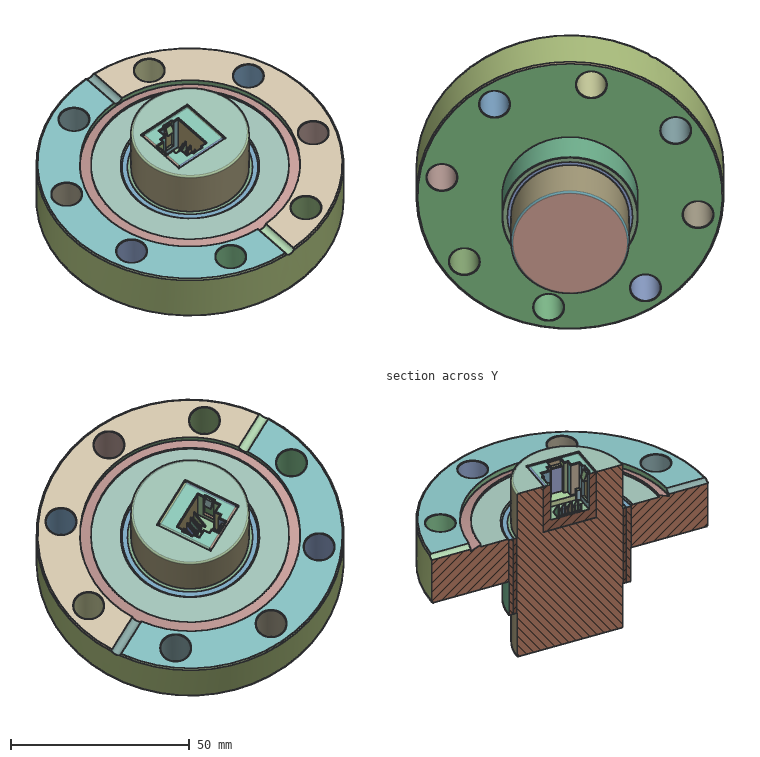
import cadquery as cq

FLANGE_DIAMETER = 86
FLANGE_THICKNESS = 15.8
FLANGE_CHAMFER = 0.4
BOLT_COUNT = 8
BOLT_CIRCLE_DIAMETER = 72.6
BOLT_HOLE_DIAMETER = 8.4
BOLT_HOLE_CHAMFER = 0.2
RECESS_DIAMETER = 61.6
RECESS_WALL_DEPTH = 1.7
KNIFE_EDGE_DIAMETER = 55.4
KNIFE_EDGE_DEPTH = 0.4
RECESS_FLOOR_DEPTH = 1.1
BORE_CHAMFER = 0.4
LEAK_GROOVE_WIDTH = 2.9
LEAK_GROOVE_DEPTH = 1.0

SLEEVE_OUTER_DIAMETER = 38.0
SLEEVE_INNER_DIAMETER = 35.0
SLEEVE_DROP = 11.4
SLEEVE_CHAMFER = 0.2

PLUG_DIAMETER = 33.0
PLUG_LENGTH = 55.6
PLUG_RISE = 13.4
PLUG_FILLET = 0.5

JACK_WIDTH = 16.3
JACK_TOP_Y = 6.1
JACK_BOTTOM_Y = -11.1
JACK_LENGTH = 15.5
JACK_FILLET = 0.8

SOCKET_DEPTH = 12
SOCKET_RIM_CHAMFER = 0.3
SOCKET_HALF_WIDTH = 5.85
SOCKET_TOP_Y = 0.7
SOCKET_BOTTOM_Y = -6.1
SHOULDER_HALF_WIDTH = 3.2
SHOULDER_Y = -7.9
LATCH_HALF_WIDTH = 2.0
LATCH_Y = -10.2
LATCH_LEDGE_Y = -9.0
LATCH_LEDGE_DEPTH = 1.7
SHELF_Y = -5.6
SHELF_HEIGHT = 1.7
CORNER_BLOCK_WIDTH = 1.3
CORNER_BLOCK_LENGTH = 1.0
CORNER_BLOCK_HEIGHT = 3.4

SPRING_NOTCH_HALF_WIDTH = 6.6
SPRING_NOTCH_LENGTH = 3.35
SPRING_NOTCH_DEPTH = 10.3
SPRING_CENTER_Y = -2.7
SPRING_LENGTH = 2.2
SPRING_ROOT_HALF_WIDTH = 6
SPRING_TIP_HALF_WIDTH = 5.1
SPRING_TOP_DEPTH = 0.9
SPRING_TIP_DEPTH = 3.4

CONTACT_COUNT = 8
CONTACT_ROW_LENGTH = 7.05
CONTACT_WIDTH = 0.4
CONTACT_REACHES = (2.9, 3.7)
CONTACT_HEIGHTS = (3.4, 5.2)

flange_radius = FLANGE_DIAMETER / 2
recess_floor_z = FLANGE_THICKNESS - RECESS_FLOOR_DEPTH
sleeve_top_z = recess_floor_z - BORE_CHAMFER
plug_top_z = FLANGE_THICKNESS + PLUG_RISE
socket_floor_z = plug_top_z - SOCKET_DEPTH
contact_pitch = CONTACT_ROW_LENGTH / (CONTACT_COUNT - 1)


def box(x_range, y_range, z_range):
    """Box between two X, two Y and two Z values."""
    lengths = [high - low for low, high in (x_range, y_range, z_range)]
    return cq.Workplane("XY").box(*lengths, centered=False).translate((x_range[0], y_range[0], z_range[0]))


def tube(outer_diameter, inner_diameter, bottom_z, top_z):
    """Round tube on the Z axis."""
    plane = cq.Workplane("XY").workplane(offset=bottom_z)
    return plane.circle(outer_diameter / 2).circle(inner_diameter / 2).extrude(top_z - bottom_z)


def make_flange():
    """Knife-edge flange: turned profile, bolt holes and leak-check grooves."""
    recess_radius = RECESS_DIAMETER / 2
    knife_radius = KNIFE_EDGE_DIAMETER / 2
    bore_radius = SLEEVE_OUTER_DIAMETER / 2
    profile = [
        (bore_radius, 0),
        (flange_radius - FLANGE_CHAMFER, 0),
        (flange_radius, FLANGE_CHAMFER),
        (flange_radius, FLANGE_THICKNESS - FLANGE_CHAMFER),
        (flange_radius - FLANGE_CHAMFER, FLANGE_THICKNESS),
        (recess_radius, FLANGE_THICKNESS),
        (recess_radius, FLANGE_THICKNESS - RECESS_WALL_DEPTH),
        (knife_radius, FLANGE_THICKNESS - KNIFE_EDGE_DEPTH),
        (knife_radius, recess_floor_z),
        (bore_radius + BORE_CHAMFER, recess_floor_z),
        (bore_radius, sleeve_top_z),
    ]
    flange = cq.Workplane("XZ").polyline(profile).close().revolve(360, (0, 0), (0, 1))
    return flange.cut(bolt_holes()).cut(leak_grooves())


def bolt_holes():
    """Cutters for the chamfered bolt holes, spaced evenly and clear of the grooves."""
    radius = BOLT_HOLE_DIAMETER / 2
    rim_radius = radius + BOLT_HOLE_CHAMFER
    profile = [
        (0, 0),
        (rim_radius, 0),
        (radius, BOLT_HOLE_CHAMFER),
        (radius, FLANGE_THICKNESS - BOLT_HOLE_CHAMFER),
        (rim_radius, FLANGE_THICKNESS),
        (0, FLANGE_THICKNESS),
    ]
    cutter = cq.Workplane("XZ").polyline(profile).close().revolve(360, (0, 0), (0, 1)).val()
    first_angle = 180 / BOLT_COUNT
    radius_to_holes = BOLT_CIRCLE_DIAMETER / 2
    centers = cq.Workplane("XY").polarArray(radius_to_holes, first_angle, 360, BOLT_COUNT, rotate=False)
    return centers.eachpoint(lambda place: cutter.moved(place))


def leak_grooves():
    """Cutter for the two round-bottomed grooves along X, from the recess to the rim."""
    half_width = LEAK_GROOVE_WIDTH / 2
    radius = (half_width**2 + LEAK_GROOVE_DEPTH**2) / (2 * LEAK_GROOVE_DEPTH)
    axis_z = FLANGE_THICKNESS - LEAK_GROOVE_DEPTH + radius
    rod = cq.Workplane("YZ").center(0, axis_z).circle(radius).extrude(flange_radius, both=True)
    recess_core = cq.Workplane("XY").circle(RECESS_DIAMETER / 2).extrude(plug_top_z)
    return rod.cut(recess_core)


def make_sleeve():
    """Tube that carries the plug, chamfered at its lower outer edge."""
    sleeve = tube(SLEEVE_OUTER_DIAMETER, SLEEVE_INNER_DIAMETER, -SLEEVE_DROP, sleeve_top_z)
    return sleeve.faces("<Z").edges(cq.selectors.RadiusNthSelector(-1)).chamfer(SLEEVE_CHAMFER)


def make_potting():
    """Ring that fills the gap between the sleeve and the plug."""
    return tube(SLEEVE_INNER_DIAMETER, PLUG_DIAMETER, -SLEEVE_DROP, sleeve_top_z)


def jack_block():
    """Plain outer block of the jack, flush with the top of the plug."""
    x_range = (-JACK_WIDTH / 2, JACK_WIDTH / 2)
    return box(x_range, (JACK_BOTTOM_Y, JACK_TOP_Y), (plug_top_z - JACK_LENGTH, plug_top_z))


def make_plug():
    """Round plug with rounded ends and a pocket for the jack."""
    plug = cq.Workplane("XY").workplane(offset=plug_top_z - PLUG_LENGTH).circle(PLUG_DIAMETER / 2)
    plug = plug.extrude(PLUG_LENGTH).edges().fillet(PLUG_FILLET)
    return plug.cut(jack_block())


def socket_cavity():
    """Cutter for the stepped socket opening with its flared rim."""
    right_side = [
        (SOCKET_HALF_WIDTH, SOCKET_TOP_Y),
        (SOCKET_HALF_WIDTH, SOCKET_BOTTOM_Y),
        (SHOULDER_HALF_WIDTH, SOCKET_BOTTOM_Y),
        (SHOULDER_HALF_WIDTH, SHOULDER_Y),
        (LATCH_HALF_WIDTH, SHOULDER_Y),
        (LATCH_HALF_WIDTH, LATCH_Y),
    ]
    left_side = [(-x, y) for x, y in reversed(right_side)]
    outline = right_side + left_side
    cavity = cq.Workplane("XY").workplane(offset=socket_floor_z).polyline(outline).close()
    cavity = cavity.extrude(SOCKET_DEPTH)
    rim = cq.Workplane("XY").workplane(offset=plug_top_z).polyline(outline).close()
    rim = rim.offset2D(SOCKET_RIM_CHAMFER, "intersection").extrude(-SOCKET_RIM_CHAMFER, taper=45)
    return cavity.union(rim).union(spring_notches())


def spring_notches():
    """Cutter for the notches that widen the socket behind the springs."""
    half_length = SPRING_NOTCH_LENGTH / 2
    x_range = (-SPRING_NOTCH_HALF_WIDTH, SPRING_NOTCH_HALF_WIDTH)
    y_range = (SPRING_CENTER_Y - half_length, SPRING_CENTER_Y + half_length)
    return box(x_range, y_range, (plug_top_z - SPRING_NOTCH_DEPTH, plug_top_z))


def latch_ledge():
    """High ledge at the end of the latch slot, chamfered along its inner edge."""
    x_range = (-LATCH_HALF_WIDTH, LATCH_HALF_WIDTH)
    ledge = box(x_range, (LATCH_Y, LATCH_LEDGE_Y), (socket_floor_z, plug_top_z - LATCH_LEDGE_DEPTH))
    return ledge.faces(">Y").edges(">Z").chamfer(SOCKET_RIM_CHAMFER)


def socket_floor_steps():
    """Raised shelf on the latch side and the two blocks in the lower corners."""
    shelf_x = (-SOCKET_HALF_WIDTH, SOCKET_HALF_WIDTH)
    steps = box(shelf_x, (LATCH_LEDGE_Y, SHELF_Y), (socket_floor_z, socket_floor_z + SHELF_HEIGHT))
    block_y = (SOCKET_BOTTOM_Y, SOCKET_BOTTOM_Y + CORNER_BLOCK_LENGTH)
    block_z = (socket_floor_z, socket_floor_z + CORNER_BLOCK_HEIGHT)
    for left in (-SOCKET_HALF_WIDTH, SOCKET_HALF_WIDTH - CORNER_BLOCK_WIDTH):
        steps = steps.union(box((left, left + CORNER_BLOCK_WIDTH), block_y, block_z))
    return steps


def shield_springs():
    """Two sloping springs that lean from the side notches into the socket."""
    top_z = plug_top_z - SPRING_TOP_DEPTH
    tip_z = plug_top_z - SPRING_TIP_DEPTH
    profile = [
        (SPRING_NOTCH_HALF_WIDTH, top_z),
        (SPRING_ROOT_HALF_WIDTH, top_z),
        (SPRING_TIP_HALF_WIDTH, tip_z),
        (SPRING_NOTCH_HALF_WIDTH, tip_z),
    ]
    plane = cq.Workplane("XZ", origin=(0, SPRING_CENTER_Y, 0))
    spring = plane.polyline(profile).close().extrude(SPRING_LENGTH / 2, both=True)
    return spring.union(spring.mirror("YZ"))


def contact(x, reach, height):
    """Wedge-shaped contact that leans from the back wall down to the socket floor."""
    profile = [
        (SOCKET_TOP_Y, socket_floor_z),
        (SOCKET_TOP_Y, socket_floor_z + height),
        (SOCKET_TOP_Y - reach, socket_floor_z),
    ]
    plane = cq.Workplane("YZ", origin=(x, 0, 0))
    return plane.polyline(profile).close().extrude(CONTACT_WIDTH / 2, both=True)


def make_jack():
    """Modular jack with its socket, springs and a row of alternating contacts."""
    jack = jack_block().faces(">Z").edges().fillet(JACK_FILLET)
    jack = jack.cut(socket_cavity())
    jack = jack.union(socket_floor_steps()).union(latch_ledge()).union(shield_springs())
    for index in range(CONTACT_COUNT):
        x = index * contact_pitch - CONTACT_ROW_LENGTH / 2
        kind = index % len(CONTACT_REACHES)
        jack = jack.union(contact(x, CONTACT_REACHES[kind], CONTACT_HEIGHTS[kind]))
    return jack


flange = make_flange()
sleeve = make_sleeve()
potting = make_potting()
plug = make_plug()
jack = make_jack()

result = cq.Compound.makeCompound([flange.val(), sleeve.val(), potting.val(), plug.val(), jack.val()])